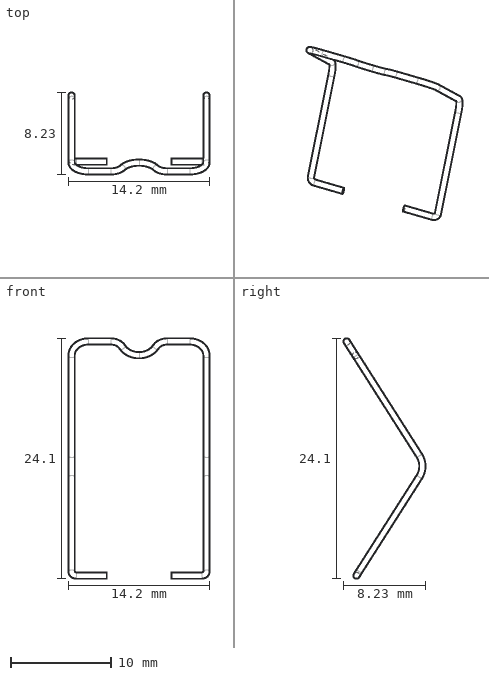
import cadquery as cq
import math

overall_width = 14.15
overall_depth = 8.23
overall_height = 24.05
wire_diameter = 0.65
lean = math.radians(32.5)
elbow_radius = 2.0
crown_corner_radius = 1.68
foot_bend_radius = 0.48
foot_gap = 6.45
dip_half_span = 2.82
dip_depth = 1.64
dip_shoulder_radius = 1.32

leg_x = (overall_width - wire_diameter) / 2
crown_y = -(overall_depth - wire_diameter)
crown_z = overall_height - wire_diameter
elbow_setback = elbow_radius * (1 - math.cos(lean))
elbow_half_height = elbow_radius * math.sin(lean)
elbow_z = crown_z - elbow_half_height - (-crown_y - elbow_setback) / math.tan(lean)
foot_y = -elbow_setback - (elbow_z - elbow_half_height) * math.tan(lean)

dip_angle = 2 * math.atan(dip_depth / dip_half_span)
dip_radius = dip_half_span / math.sin(dip_angle) - dip_shoulder_radius


def crown_point(x, drop):
    """Point in the upper leaning plane, drop below the crown along its slope."""
    return cq.Vector(x, crown_y + drop * math.sin(lean), crown_z - drop * math.cos(lean))


def foot_point(x, rise):
    """Point in the lower leaning plane, rise above the foot along its slope."""
    return cq.Vector(x, foot_y + rise * math.sin(lean), rise * math.cos(lean))


def dip_arc_point(angle):
    """Point on the dip arc, at an angle from its lowest point."""
    return crown_point(dip_radius * math.sin(angle), dip_depth - dip_radius * (1 - math.cos(angle)))


def shoulder_arc_point(angle):
    """Point on the shoulder arc, at an angle from its highest point."""
    x = dip_half_span - dip_shoulder_radius * math.sin(angle)
    return crown_point(x, dip_shoulder_radius * (1 - math.cos(angle)))


def half_centreline():
    """Wire centreline on the +X side, from the middle of the dip to the foot tip."""
    bend_inset = 1 - math.sqrt(0.5)
    crown_inset = crown_corner_radius * bend_inset
    foot_inset = foot_bend_radius * bend_inset

    dip_start = dip_arc_point(0)
    dip_end = dip_arc_point(dip_angle)
    shoulder_end = shoulder_arc_point(0)
    corner_start = crown_point(leg_x - crown_corner_radius, 0)
    corner_end = crown_point(leg_x, crown_corner_radius)
    elbow_start = cq.Vector(leg_x, -elbow_setback, elbow_z + elbow_half_height)
    elbow_end = cq.Vector(leg_x, -elbow_setback, elbow_z - elbow_half_height)
    foot_bend_start = foot_point(leg_x, foot_bend_radius)
    foot_bend_end = foot_point(leg_x - foot_bend_radius, 0)
    foot_tip = foot_point(foot_gap / 2, 0)

    line = cq.Edge.makeLine
    arc = cq.Edge.makeThreePointArc
    return cq.Wire.assembleEdges([
        arc(dip_start, dip_arc_point(dip_angle / 2), dip_end),
        arc(dip_end, shoulder_arc_point(dip_angle / 2), shoulder_end),
        line(shoulder_end, corner_start),
        arc(corner_start, crown_point(leg_x - crown_inset, crown_inset), corner_end),
        line(corner_end, elbow_start),
        arc(elbow_start, cq.Vector(leg_x, 0, elbow_z), elbow_end),
        line(elbow_end, foot_bend_start),
        arc(foot_bend_start, foot_point(leg_x - foot_inset, foot_inset), foot_bend_end),
        line(foot_bend_end, foot_tip),
    ])


dip_middle = cq.Plane(origin=dip_arc_point(0).toTuple(), xDir=(0, 1, 0), normal=(1, 0, 0))
half_clip = cq.Workplane(dip_middle).circle(wire_diameter / 2).sweep(half_centreline())
result = half_clip.union(half_clip.mirror("YZ"))